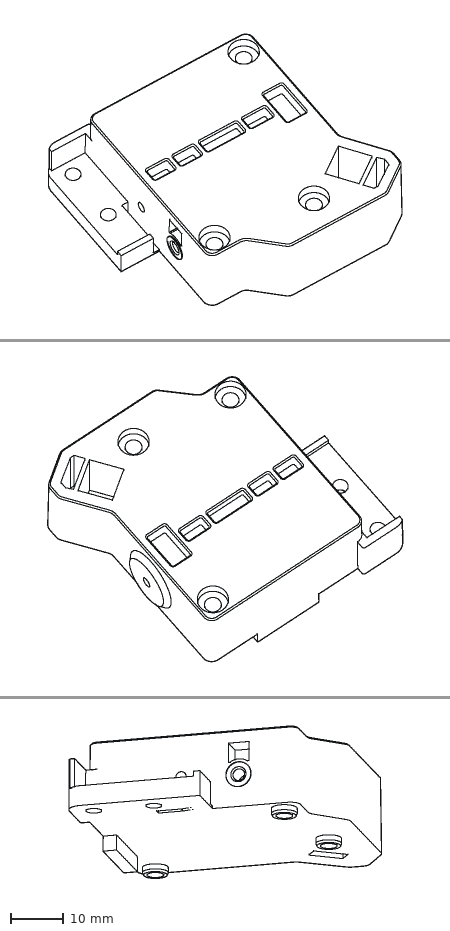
import cadquery as cq
import math


CASE_HEIGHT = 15.5
CASE_DRAFT = 0.8
CASE_DEPTH = 37.9
CORNER_RADIUS = 2.0
TOP_CHAMFER = 0.3
FRONT_RIGHT_X = 42.15
RIGHT_X = 48.45
SHOULDER_START_Y = 8.1
EAR_ANGLE = 35.0
EAR_RIGHT_Y = 37.3
EAR_TOP_Y = 44.1
EAR_TOP_LEFT_X = 40.0

SCREW_POINTS = [(4.1, 34.05), (41.3, 24.9), (38.45, 3.7)]
SCREW_DIAMETER = 3.25
COUNTERBORE_DIAMETER = 6.0
COUNTERBORE_DEPTH = 2.0
FOOT_DIAMETER = 5.0
FOOT_HEIGHT = 1.5
FOOT_CHAMFER_HEIGHT = 0.5
FOOT_CHAMFER_WIDTH = 0.2

BLOCK_WIDTH = 2.7
BLOCK_LENGTH = 14.8
BLOCK_HEIGHT = 3.0
BLOCK_ROOT = 2.65

PASSAGE_X = 18.8
PASSAGE_Z = 6.95
PASSAGE_DIAMETER = 2.05
CONE_BASE_RADIUS = 6.35
CONE_HEIGHT = 0.95
CONE_ROOT = 0.55

POCKET_DEPTH = 3.0
LONG_POCKET_DEPTH = 2.0
POCKET_CORNER_RADIUS = 0.65
POCKET_CHAMFER = 0.3
POCKET_GAP = 0.8
FIRST_POCKET_Y = 1.95
ROW_POCKET_WIDTH = 3.45
ROW_POCKETS = [
    (5.35, POCKET_DEPTH),
    (5.35, POCKET_DEPTH),
    (9.3, LONG_POCKET_DEPTH),
    (5.85, POCKET_DEPTH),
]
END_POCKET_WIDTH = 8.9
END_POCKET_LENGTH = 5.05

WINDOW_CENTER = (38.3, 35.05)
WINDOW_LENGTH = 6.95
WINDOW_WIDTH = 7.2
WINDOW_SLIT_WIDTH = 2.85
EAR_RECESS_DEPTH = 11.5
EAR_SLOT_POINTS = [(39.85, 40.5), (43.95, 34.55), (45.8, 35.85), (45.8, 36.75), (42.55, 41.5), (41.05, 41.5)]

BUSHING_X = 30.3
BUSHING_Z = 6.45
BUSHING_DIAMETER = 5.0
BUSHING_LENGTH = 5.0
BUSHING_PROTRUSION = 0.1
BUSHING_BORE = 2.35
BUSHING_MOUTH = 3.0
BUSHING_DISH = 3.75
BUSHING_DISH_DEPTH = 0.075
RELIEF_WIDTH = 3.0
RELIEF_HEIGHT = 1.05
RELIEF_DEPTH = 1.05
COLLAR_RADIUS = 3.15
FRONT_POCKET_WIDTH = 4.15
FRONT_POCKET_BOTTOM = 9.05
FRONT_POCKET_TOP = 12.95
FRONT_POCKET_DEPTH = BUSHING_LENGTH

BRACKET_LEFT_X = -1.8
BRACKET_RIGHT_X = 25.15
BRACKET_FRONT_Y = -8.9
BRACKET_BACK_Y = 2.15
BRACKET_CORNER_RADIUS = 3.15
BRACKET_EDGE_RADIUS = 0.5
PLATE_THICKNESS = 4.0
WALL_HEIGHT = 9.9
WALL_INNER_X = -0.2
WALL_FRONT_Y = -7.75
CORNER_FILL_END_X = 2 * CORNER_RADIUS
LIP_WIDTH = 1.25
LIP_HEIGHT = 5.0
BRACKET_HOLE_DIAMETER = 3.0
BRACKET_HOLE_Y = -4.8
BRACKET_HOLE_XS = [2.8, 14.8]
GAP_START_X = 14.35
GAP_WIDTH = 1.4
RAMP_START_X = 19.3
RAMP_ANGLE = 5.0


def box(x0, x1, y0, y1, z0, z1):
    """Axis-aligned box between two opposite corners."""
    return cq.Workplane("XY").box(x1 - x0, y1 - y0, z1 - z0, centered=False).translate((x0, y0, z0))


def cylinder_along_y(x, z, radius, y0, y1):
    """Round bar parallel to Y."""
    return cq.Workplane("XZ", origin=(x, y0, z)).circle(radius).extrude(y0 - y1)


def draft_inset(z):
    """Inward shift of a drafted side wall at height z, measured from its foot."""
    return z * math.tan(math.radians(CASE_DRAFT))


def make_shell():
    """Solid case with drafted walls, rounded upright corners and a chamfered top edge."""
    ear_rise = EAR_TOP_Y - EAR_RIGHT_Y
    ear_top_right_x = RIGHT_X - ear_rise * math.tan(math.radians(EAR_ANGLE))
    ear_foot_x = EAR_TOP_LEFT_X - (EAR_TOP_Y - CASE_DEPTH) / math.tan(math.radians(EAR_ANGLE))
    shoulder_end_y = SHOULDER_START_Y + RIGHT_X - FRONT_RIGHT_X
    outline = [
        (0, 0),
        (FRONT_RIGHT_X, 0),
        (FRONT_RIGHT_X, SHOULDER_START_Y),
        (RIGHT_X, shoulder_end_y),
        (RIGHT_X, EAR_RIGHT_Y),
        (ear_top_right_x, EAR_TOP_Y),
        (EAR_TOP_LEFT_X, EAR_TOP_Y),
        (ear_foot_x, CASE_DEPTH),
        (0, CASE_DEPTH),
    ]
    prism = cq.Workplane("XY").polyline(outline).close().extrude(CASE_HEIGHT)
    footprint = prism.edges("|Z").fillet(CORNER_RADIUS).faces("<Z").wires().val()
    shell = cq.Workplane("XY").add(footprint).toPending().extrude(CASE_HEIGHT, taper=CASE_DRAFT)
    return shell.faces(">Z").edges().chamfer(TOP_CHAMFER)


def make_foot(x, y):
    """Round spacer foot with a chamfered lower rim."""
    foot = cq.Workplane("XY", origin=(x, y, 0)).circle(FOOT_DIAMETER / 2).extrude(-FOOT_HEIGHT)
    return foot.faces("<Z").edges().chamfer(FOOT_CHAMFER_HEIGHT, FOOT_CHAMFER_WIDTH)


def make_screw_cut(x, y):
    """Through hole with its counterbore."""
    hole = cq.Workplane("XY", origin=(x, y, -FOOT_HEIGHT)).circle(SCREW_DIAMETER / 2)
    bore = cq.Workplane("XY", origin=(x, y, CASE_HEIGHT)).circle(COUNTERBORE_DIAMETER / 2)
    return hole.extrude(FOOT_HEIGHT + CASE_HEIGHT).union(bore.extrude(-COUNTERBORE_DEPTH))


def make_block():
    """Locating block midway along the left wall, its outer face in the plane of that drafted wall."""
    outer_face = [(draft_inset(BLOCK_ROOT), BLOCK_ROOT), (draft_inset(-BLOCK_HEIGHT), -BLOCK_HEIGHT)]
    inner_face = [(BLOCK_WIDTH, -BLOCK_HEIGHT), (BLOCK_WIDTH, BLOCK_ROOT)]
    block = cq.Workplane("XZ", origin=(0, (CASE_DEPTH + BLOCK_LENGTH) / 2, 0))
    return block.polyline(outer_face + inner_face).close().extrude(BLOCK_LENGTH)


def make_cone():
    """Flat-topped 45 degree cone on the back wall, around the passage."""
    base = cq.Workplane("XZ", origin=(PASSAGE_X, CASE_DEPTH - CONE_ROOT, PASSAGE_Z))
    height = CONE_ROOT + CONE_HEIGHT
    return base.circle(CONE_BASE_RADIUS + CONE_ROOT).extrude(-height, taper=45)


def make_top_pocket(y, width, length, depth):
    """Rounded pocket with a chamfered mouth, centered over the passage, starting at y."""
    mouth = cq.Workplane("XY", origin=(PASSAGE_X, y + length / 2, CASE_HEIGHT))
    rim_outline = cq.Sketch().rect(width, length).vertices().fillet(POCKET_CORNER_RADIUS)
    rim = mouth.placeSketch(rim_outline).extrude(-POCKET_CHAMFER, taper=45)
    walls = mouth.rect(width - 2 * POCKET_CHAMFER, length - 2 * POCKET_CHAMFER).extrude(-depth)
    return rim.union(walls.edges("|Z").fillet(POCKET_CORNER_RADIUS - POCKET_CHAMFER))


def make_ear_recesses():
    """Square window narrowing to a slit that goes right through, and the blind slot beside it."""
    window = cq.Workplane("XY", origin=(*WINDOW_CENTER, 0)).transformed(rotate=(0, 0, EAR_ANGLE))
    slit = window.rect(WINDOW_LENGTH, WINDOW_SLIT_WIDTH).extrude(CASE_HEIGHT)
    floor_z = CASE_HEIGHT - EAR_RECESS_DEPTH
    recess = window.workplane(offset=floor_z).rect(WINDOW_LENGTH, WINDOW_WIDTH).extrude(EAR_RECESS_DEPTH)
    slot = cq.Workplane("XY", origin=(0, 0, floor_z)).polyline(EAR_SLOT_POINTS).close()
    return slit.union(recess).union(slot.extrude(EAR_RECESS_DEPTH))


def make_front_pocket():
    """Pocket above the bushing; its floor arches over the collar."""
    half_width = FRONT_POCKET_WIDTH / 2
    pocket = box(BUSHING_X - half_width, BUSHING_X + half_width, 0, FRONT_POCKET_DEPTH,
                 FRONT_POCKET_BOTTOM, FRONT_POCKET_TOP)
    return pocket.cut(cylinder_along_y(BUSHING_X, BUSHING_Z, COLLAR_RADIUS, 0, FRONT_POCKET_DEPTH))


def make_bushing_seat():
    """Blind round seat for the bushing, with a small notch in its floor behind the bore."""
    depth = BUSHING_LENGTH - BUSHING_PROTRUSION
    seat = cylinder_along_y(BUSHING_X, BUSHING_Z, BUSHING_DIAMETER / 2, 0, depth)
    notch = box(BUSHING_X - RELIEF_WIDTH / 2, BUSHING_X + RELIEF_WIDTH / 2, depth, depth + RELIEF_DEPTH,
                PASSAGE_Z, PASSAGE_Z + RELIEF_HEIGHT)
    return seat.union(notch)


def make_bracket():
    """Mounting plate with a tall left wall, a low right lip, a back gap with a ramp, and two holes.

    The corner piece joins the wall to the case, its front in the plane of the drafted front wall.
    """
    envelope = box(BRACKET_LEFT_X, BRACKET_RIGHT_X, BRACKET_FRONT_Y, BRACKET_BACK_Y, 0, WALL_HEIGHT)
    envelope = envelope.edges("|Z and <X and <Y").fillet(BRACKET_CORNER_RADIUS)
    envelope = envelope.edges("|Z and <X and >Y").fillet(BRACKET_EDGE_RADIUS)

    plate = box(BRACKET_LEFT_X, BRACKET_RIGHT_X, BRACKET_FRONT_Y, BRACKET_BACK_Y, 0, PLATE_THICKNESS)
    wall = box(BRACKET_LEFT_X, WALL_INNER_X, WALL_FRONT_Y, BRACKET_BACK_Y, 0, WALL_HEIGHT)
    corner_front = [(0, 0), (draft_inset(WALL_HEIGHT), WALL_HEIGHT)]
    corner_back = [(BRACKET_BACK_Y, WALL_HEIGHT), (BRACKET_BACK_Y, 0)]
    corner = cq.Workplane("YZ", origin=(BRACKET_LEFT_X, 0, 0)).polyline(corner_front + corner_back).close()
    corner = corner.extrude(CORNER_FILL_END_X - BRACKET_LEFT_X)
    lip = box(BRACKET_RIGHT_X - LIP_WIDTH, BRACKET_RIGHT_X, BRACKET_FRONT_Y, 0, 0, LIP_HEIGHT)
    bracket = plate.union(wall).union(corner).union(lip).intersect(envelope)

    gap = box(GAP_START_X, BRACKET_RIGHT_X, -GAP_WIDTH, BRACKET_BACK_Y, 0, LIP_HEIGHT)
    ramp_length = BRACKET_RIGHT_X - RAMP_START_X
    ramp_height = ramp_length * math.tan(math.radians(RAMP_ANGLE))
    ramp = (
        cq.Workplane("XZ", origin=(RAMP_START_X, BRACKET_BACK_Y, 0))
        .polyline([(0, 0), (ramp_length, 0), (ramp_length, ramp_height)])
        .close()
        .extrude(BRACKET_BACK_Y + GAP_WIDTH)
    )
    holes = (
        cq.Workplane("XY")
        .pushPoints([(x, BRACKET_HOLE_Y) for x in BRACKET_HOLE_XS])
        .circle(BRACKET_HOLE_DIAMETER / 2)
        .extrude(PLATE_THICKNESS)
    )
    return bracket.cut(gap).union(ramp).cut(holes)


def make_housing():
    """Case with its feet, block, cone and bracket, and every opening cut into it."""
    housing = make_shell().union(make_block()).union(make_cone()).union(make_bracket())
    for x, y in SCREW_POINTS:
        housing = housing.union(make_foot(x, y))
    for x, y in SCREW_POINTS:
        housing = housing.cut(make_screw_cut(x, y))

    pocket_y = FIRST_POCKET_Y
    for length, depth in ROW_POCKETS:
        housing = housing.cut(make_top_pocket(pocket_y, ROW_POCKET_WIDTH, length, depth))
        pocket_y += length + POCKET_GAP
    end_pocket = make_top_pocket(pocket_y, END_POCKET_WIDTH, END_POCKET_LENGTH, POCKET_DEPTH)
    housing = housing.cut(end_pocket)

    back_y = CASE_DEPTH + CONE_HEIGHT
    housing = housing.cut(cylinder_along_y(PASSAGE_X, PASSAGE_Z, PASSAGE_DIAMETER / 2, 0, back_y))
    housing = housing.cut(make_ear_recesses()).cut(make_front_pocket())
    return housing.cut(make_bushing_seat())


def make_bushing():
    """Short tube with a dished and countersunk front mouth, standing slightly proud of the wall."""
    bore_radius = BUSHING_BORE / 2
    mouth_radius = BUSHING_MOUTH / 2
    outer_radius = BUSHING_DIAMETER / 2
    mouth_depth = BUSHING_DISH_DEPTH + mouth_radius - bore_radius
    half_section = [
        (bore_radius, mouth_depth),
        (mouth_radius, BUSHING_DISH_DEPTH),
        (BUSHING_DISH / 2, 0),
        (outer_radius, 0),
        (outer_radius, BUSHING_LENGTH),
        (bore_radius, BUSHING_LENGTH),
    ]
    profile = cq.Workplane("XY", origin=(BUSHING_X, -BUSHING_PROTRUSION, BUSHING_Z))
    return profile.polyline(half_section).close().revolve(360, (0, 0), (0, 1))


housing = make_housing()
bushing = make_bushing()
result = cq.Compound.makeCompound([housing.val(), bushing.val()])